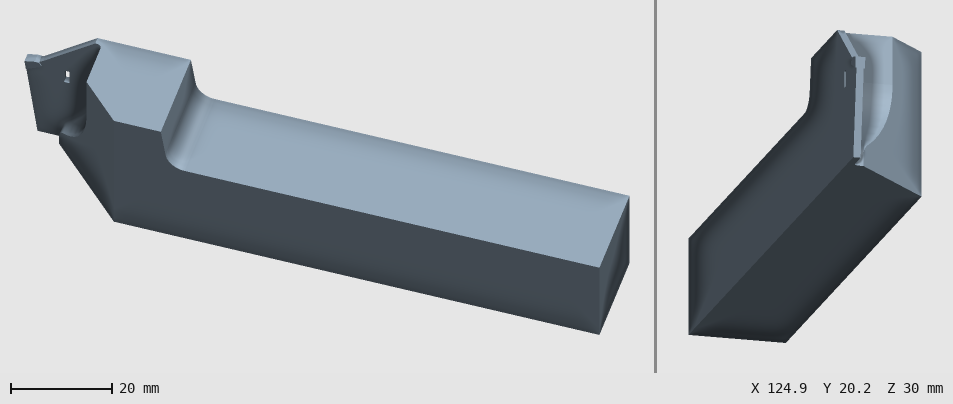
import cadquery as cq
import math

length = 124.9
height = 30.0
shank_height = 20.0
shank_width = 20.0
insert_overhang = 0.2
front_y = 0.0
back_y = front_y + shank_width
head_wall_top_x = 34.0
head_wall_lean = 1.5
head_wall_fillet = 4.0
corner_cut_x = 24.2

blade_width = 1.5
blade_face_y = back_y - blade_width
tip_z = 20.1
blade_foot_x = 2.6
blade_crest_x = 14.6
blade_nose_x, blade_nose_z = 3.7, 21.1
seat_top_x, seat_top_z = 3.0, 20.6
slot_mouth_x = 3.5
slot_top_z = 19.7
slot_bottom_z = 16.4
slot_end_x = 9.2
insert_end_x = 8.1

recess_upper_x = 16.0
recess_lower_x = 7.7
recess_arc_top_z = 20.0
recess_arc_bottom_z = 2.2
large_arc_radius = 20.0
recess_fillet = 1.0

insert_head_width = blade_width + 2 * insert_overhang
insert_rise_x = 2.1
head_foot_z = 17.9
head_rear_z = 19.5


def left_edge_x(z):
    """X of the leaning left edge shared by the blade and the insert."""
    return blade_foot_x * (1 - z / tip_z)


def extrude_back(outline, near_y, width):
    """Extrude an XZ outline from near_y towards +Y."""
    return outline.extrude(-width).translate((0, near_y, 0))


def make_blank():
    """Side outline of the whole holder, with the insert slot left open."""
    outline = cq.Workplane("XZ").polyline([
        (blade_foot_x, 0),
        (length, 0),
        (length, shank_height),
        (head_wall_top_x + head_wall_lean, shank_height),
        (head_wall_top_x, height),
        (blade_crest_x, height),
        (blade_nose_x, blade_nose_z),
        (seat_top_x, seat_top_z),
        (slot_mouth_x, slot_top_z),
        (slot_end_x, slot_top_z),
        (slot_end_x, slot_bottom_z),
        (left_edge_x(slot_bottom_z), slot_bottom_z),
    ]).close()
    blank = extrude_back(outline, front_y, shank_width)
    step_corner = cq.selectors.NearestToPointSelector(
        (head_wall_top_x + head_wall_lean, front_y + shank_width / 2, shank_height))
    return blank.edges(step_corner).fillet(head_wall_fillet)


def make_corner_cut():
    """Prism that removes the front left corner at 45 degrees."""
    return (
        cq.Workplane("XY")
        .polyline([
            (corner_cut_x, front_y),
            (corner_cut_x - blade_face_y, blade_face_y),
            (-corner_cut_x, blade_face_y),
            (-corner_cut_x, front_y),
        ])
        .close()
        .extrude(height)
    )


def make_recess():
    """S-shaped pocket that thins the head down to the blade."""
    run = recess_upper_x - recess_lower_x
    drop = recess_arc_top_z - recess_arc_bottom_z
    sweep = 2 * math.atan(run / drop)
    small_arc_radius = drop / math.sin(sweep) - large_arc_radius

    def large_arc_point(angle):
        return (recess_upper_x - large_arc_radius * (1 - math.cos(angle)),
                recess_arc_top_z - large_arc_radius * math.sin(angle))

    def small_arc_point(angle):
        return (recess_lower_x + small_arc_radius * (1 - math.cos(angle)),
                recess_arc_bottom_z + small_arc_radius * math.sin(angle))

    outline = (
        cq.Workplane("XZ")
        .moveTo(-length, 0)
        .lineTo(recess_lower_x, 0)
        .lineTo(recess_lower_x, recess_arc_bottom_z)
        .threePointArc(small_arc_point(sweep / 2), small_arc_point(sweep))
        .threePointArc(large_arc_point(sweep / 2), (recess_upper_x, recess_arc_top_z))
        .lineTo(recess_upper_x, height)
        .lineTo(-length, height)
        .close()
    )
    pocket = extrude_back(outline, front_y, blade_face_y - front_y)
    floor_edge = pocket.faces(">Y").edges("not(<Z or >Z or <X)")
    return floor_edge.fillet(recess_fillet)


def make_holder():
    return make_blank().cut(make_corner_cut()).cut(make_recess())


def make_insert():
    """Cutting insert: a shank flush with the blade and a wider cutting head."""
    head_foot = (left_edge_x(head_foot_z), head_foot_z)
    head_rear = (slot_mouth_x, head_rear_z)
    shank_outline = cq.Workplane("XZ").polyline([
        (left_edge_x(slot_bottom_z), slot_bottom_z),
        (insert_end_x, slot_bottom_z),
        (insert_end_x, slot_top_z),
        (slot_mouth_x, slot_top_z),
        head_rear,
        head_foot,
    ]).close()
    head_outline = cq.Workplane("XZ").polyline([
        head_foot,
        head_rear,
        (slot_mouth_x, slot_top_z),
        (seat_top_x, seat_top_z),
        (insert_rise_x, seat_top_z),
        (left_edge_x(tip_z), tip_z),
    ]).close()
    shank = extrude_back(shank_outline, blade_face_y, blade_width)
    head = extrude_back(head_outline, blade_face_y - insert_overhang, insert_head_width)
    return shank.union(head)


holder = make_holder()
insert = make_insert()
result = cq.Compound.makeCompound([holder.val(), insert.val()])